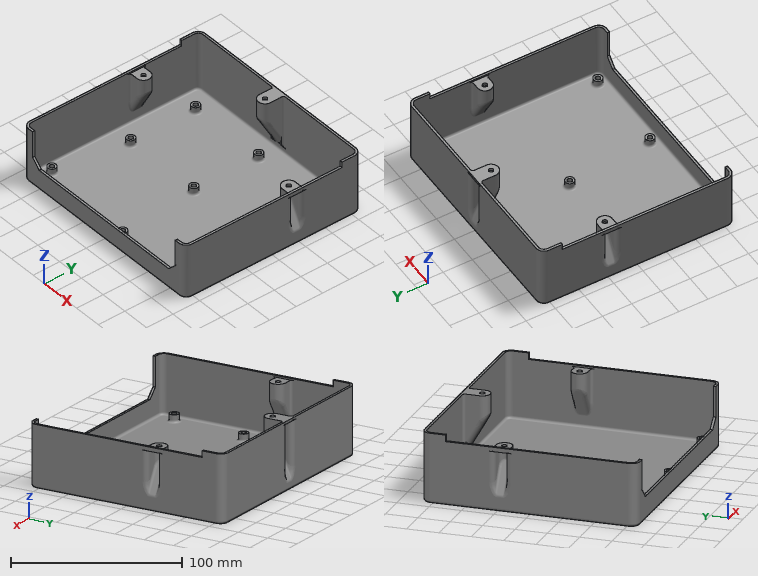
import cadquery as cq
import math

LENGTH = 149.2
DEPTH = 133.2
HEIGHT = 43.5
WALL = 1.6
CORNER_RADIUS = 5.4
BOTTOM_RADIUS = 1.8
FLOOR_FILLET = WALL

RIM_Z = 39.5
BACK_LIP_LENGTH = 14.8

OPENING_WIDTH = 131.3
OPENING_Z = 14.6
OPENING_CHAMFER = 6.0

LUG_WIDTH = 10.0
LUG_EDGE_RADIUS = 3.0
LUG_HOLE_DIAMETER = 3.1
SLOPE_ANGLE = 30.0
SIDE_LUG_REACH = 11.0
SIDE_LUG_TOP_Z = 38.5
SIDE_LUG_TIP_Z = 28.2
SIDE_LUG_Y = 18.0
BACK_LUG_REACH = 15.0
BACK_LUG_TIP_Z = 31.2

STANDOFF_DIAMETER = 6.0
STANDOFF_HOLE_DIAMETER = 3.1
STANDOFF_HEIGHT = 5.0
STANDOFF_FILLET = 1.6
BOARD_HOLE_PITCH_X = 58.0
BOARD_HOLE_PITCH_Y = 49.0
REAR_BOARD_X = -57.1
REAR_BOARD_Y = 0.5
FRONT_BOARD_X = 7.0
FRONT_BOARD_Y = -58.2
SINGLE_STANDOFF = (-65.6, -52.0)

INNER_X = LENGTH / 2 - WALL
INNER_Y = DEPTH / 2 - WALL
SLOPE = math.radians(SLOPE_ANGLE)

STOCK_BASE_Z = -HEIGHT
STOCK_TOP_Z = 2 * HEIGHT
TOLERANCE = 0.01


def rounded_block(length, depth, corner_radius, bottom_radius, bottom_z):
    """Upright block with rounded vertical corners and bottom edges, up to the full height."""
    block = cq.Workplane("XY").workplane(offset=bottom_z).rect(length, depth)
    block = block.extrude(HEIGHT - bottom_z).edges("|Z").fillet(corner_radius)
    return block.faces("<Z").edges().fillet(bottom_radius)


def above_slope(reach, tip_z, back_x):
    """Space from X = back_x to the lug nose, above the sloped underside that starts at tip_z on the nose."""
    slope_end_z = tip_z - (reach - back_x) / math.tan(SLOPE)
    return (
        cq.Workplane("XZ")
        .polyline([(back_x, STOCK_TOP_Z), (reach, STOCK_TOP_Z), (reach, tip_z), (back_x, slope_end_z)])
        .close()
        .extrude(2 * LUG_WIDTH, both=True)
    )


def lug_form(width, reach, top_z, tip_z, edge_radius, root_x, root_radius):
    """Round-nosed lug pointing along +X with a sloped underside, blended into a wall face at X = root_x."""
    back_x = root_x - 2 * WALL
    nose_x = reach - width / 2

    form = (
        cq.Workplane("XY").workplane(offset=STOCK_BASE_Z)
        .moveTo(back_x, -width / 2)
        .lineTo(nose_x, -width / 2)
        .threePointArc((reach, 0), (nose_x, width / 2))
        .lineTo(back_x, width / 2)
        .close()
        .extrude(STOCK_TOP_Z - STOCK_BASE_Z)
    )
    form = form.intersect(above_slope(reach, tip_z, back_x))
    form = form.faces("<Z").edges("not(<X)").fillet(edge_radius)

    wall_slab = cq.Workplane("XY").box(
        2 * WALL, 4 * width, STOCK_TOP_Z - STOCK_BASE_Z, centered=(False, True, False)
    ).translate((back_x, 0, STOCK_BASE_Z))
    form = form.union(wall_slab)
    root_edges = cq.selectors.BoxSelector(
        (root_x - TOLERANCE, -width, STOCK_BASE_Z + WALL),
        (root_x + TOLERANCE, width, STOCK_TOP_Z - WALL),
        boundingbox=True,
    )
    form = form.edges(root_edges).fillet(root_radius)

    keep = cq.Workplane("XY").box(
        reach - root_x, 4 * width, top_z, centered=(False, True, False)
    ).translate((root_x, 0, 0))
    return form.intersect(keep)


def lug_and_pocket(reach, top_z, tip_z):
    """Lug standing on the inner wall face at X = 0, and the pocket that hollows it from outside."""
    lug = lug_form(LUG_WIDTH, reach, top_z, tip_z, LUG_EDGE_RADIUS, 0, WALL)
    pocket = lug_form(
        LUG_WIDTH - 2 * WALL,
        reach - WALL,
        top_z - WALL,
        tip_z + WALL * math.tan(SLOPE / 2),
        WALL,
        -WALL,
        2 * WALL,
    )
    screw_hole = (
        cq.Workplane("XY").workplane(offset=top_z - 2 * WALL)
        .center(reach - LUG_WIDTH / 2, 0)
        .circle(LUG_HOLE_DIAMETER / 2)
        .extrude(3 * WALL)
    )
    return lug, pocket.union(screw_hole)


def lug_foot(reach, tip_z):
    """Full-width foot that carries the wall blends of a lug straight down to the end of its slope."""
    half_width = LUG_WIDTH / 2
    root_half_width = half_width + WALL
    arc_offset = WALL * (1 - math.sqrt(0.5))
    foot = (
        cq.Workplane("XY")
        .moveTo(0, -root_half_width)
        .threePointArc((arc_offset, -half_width - arc_offset), (WALL, -half_width))
        .lineTo(WALL, half_width)
        .threePointArc((arc_offset, half_width + arc_offset), (0, root_half_width))
        .close()
        .extrude(tip_z)
    )
    return foot.intersect(above_slope(reach, tip_z, 0))


def place(form, angle, x, y):
    """Turn a form about Z, then move it to its wall."""
    return form.rotate((0, 0, 0), (0, 0, 1), angle).translate((x, y, 0))


def standoff(x, y):
    """Hollow post on the floor with a concave fillet around its foot."""
    radius = STANDOFF_DIAMETER / 2
    hole_radius = STANDOFF_HOLE_DIAMETER / 2
    foot_radius = radius + STANDOFF_FILLET
    arc_offset = STANDOFF_FILLET * (1 - math.sqrt(0.5))
    profile = (
        cq.Workplane("XZ")
        .moveTo(hole_radius, -WALL / 2)
        .lineTo(foot_radius, -WALL / 2)
        .lineTo(foot_radius, 0)
        .threePointArc((radius + arc_offset, arc_offset), (radius, STANDOFF_FILLET))
        .lineTo(radius, STANDOFF_HEIGHT)
        .lineTo(hole_radius, STANDOFF_HEIGHT)
        .close()
    )
    return profile.revolve(360, (0, 0, 0), (0, 1, 0)).translate((x, y, WALL))


tray = rounded_block(LENGTH, DEPTH, CORNER_RADIUS, BOTTOM_RADIUS, 0)
tray = tray.cut(rounded_block(2 * INNER_X, 2 * INNER_Y, CORNER_RADIUS - WALL, FLOOR_FILLET, WALL))

rim_cut = cq.Workplane("XY").box(
    LENGTH, DEPTH - BACK_LIP_LENGTH, HEIGHT, centered=(True, False, False)
).translate((0, -DEPTH / 2, RIM_Z))
tray = tray.cut(rim_cut)

opening = (
    cq.Workplane("XY")
    .box(OPENING_WIDTH, CORNER_RADIUS, HEIGHT, centered=(True, False, False))
    .edges("|Y and <Z").chamfer(OPENING_CHAMFER)
    .translate((0, -DEPTH / 2, OPENING_Z))
)
tray = tray.cut(opening)

side_lug, side_pocket = lug_and_pocket(SIDE_LUG_REACH, SIDE_LUG_TOP_Z, SIDE_LUG_TIP_Z)
back_lug, back_pocket = lug_and_pocket(BACK_LUG_REACH, HEIGHT, BACK_LUG_TIP_Z)
back_lug = back_lug.union(lug_foot(BACK_LUG_REACH, BACK_LUG_TIP_Z))
lug_placements = [
    (side_lug, side_pocket, 0, -INNER_X, SIDE_LUG_Y),
    (side_lug, side_pocket, 180, INNER_X, SIDE_LUG_Y),
    (back_lug, back_pocket, -90, 0, INNER_Y),
]
for lug, pocket, angle, x, y in lug_placements:
    tray = tray.union(place(lug, angle, x, y))
    tray = tray.cut(place(pocket, angle, x, y))

rear_board_holes = [
    (REAR_BOARD_X + column * BOARD_HOLE_PITCH_X, REAR_BOARD_Y + row * BOARD_HOLE_PITCH_Y)
    for column in range(2)
    for row in range(2)
]
front_board_holes = [(FRONT_BOARD_X + column * BOARD_HOLE_PITCH_X, FRONT_BOARD_Y) for column in range(2)]
for x, y in rear_board_holes + front_board_holes + [SINGLE_STANDOFF]:
    tray = tray.union(standoff(x, y))

result = tray